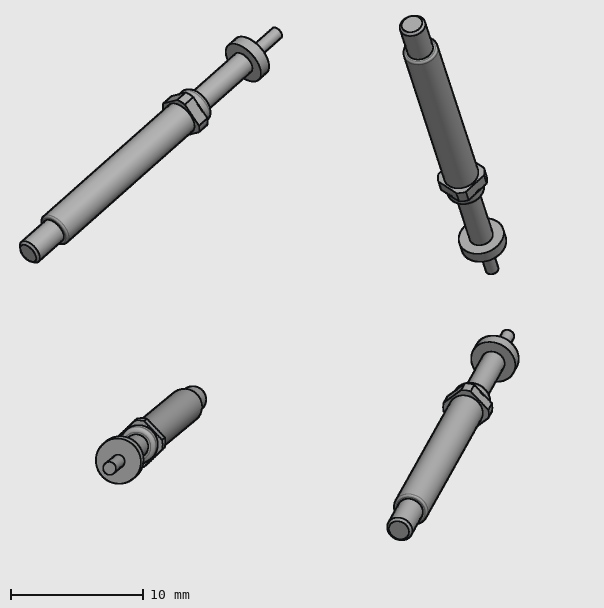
import cadquery as cq

total_length = 29.3

plunger_length = 3.02
body_length = 14.97
nut_length = 1.0
collar_length = 1.0
flange_length = 0.97
tail_length = 3.02
shaft_length = total_length - (
    plunger_length + body_length + nut_length + collar_length + flange_length + tail_length
)

plunger_diameter = 2.0
body_diameter = 2.67
nut_diameter = 3.6
collar_diameter = 2.87
shaft_diameter = 1.82
flange_diameter = 3.5
tail_diameter = 1.0

nut_across_flats = 3.02
flat_tilt = 45.0
plunger_chamfer = 0.2
body_round = 0.18
collar_round = 0.35

plunger_start = -total_length / 2
body_start = plunger_start + plunger_length
nut_start = body_start + body_length
collar_start = nut_start + nut_length
shaft_start = collar_start + collar_length
flange_start = shaft_start + shaft_length
tail_start = flange_start + flange_length


def rod(start, length, diameter):
    """Round rod on the Y axis, running from start towards +Y."""
    plane = cq.Plane(origin=(0, start, 0), xDir=(1, 0, 0), normal=(0, 1, 0))
    return cq.Workplane(plane).circle(diameter / 2).extrude(length)


def make_nut():
    """Round disc with four flats facing the diagonals."""
    disc = rod(nut_start, nut_length, nut_diameter)
    square = (
        cq.Workplane("XY")
        .box(nut_across_flats, nut_length, nut_across_flats)
        .rotate((0, 0, 0), (0, 1, 0), flat_tilt)
        .translate((0, nut_start + nut_length / 2, 0))
    )
    return disc.intersect(square)


plunger = rod(plunger_start, plunger_length, plunger_diameter).faces("<Y").edges().chamfer(plunger_chamfer)
body = rod(body_start, body_length, body_diameter).faces("<Y").edges().fillet(body_round)
nut = make_nut()
collar = rod(collar_start, collar_length, collar_diameter).faces(">Y").edges().fillet(collar_round)
shaft = rod(shaft_start, shaft_length, shaft_diameter)
flange = rod(flange_start, flange_length, flange_diameter)
tail = rod(tail_start, tail_length, tail_diameter)

result = plunger
for section in (body, nut, collar, shaft, flange, tail):
    result = result.union(section)